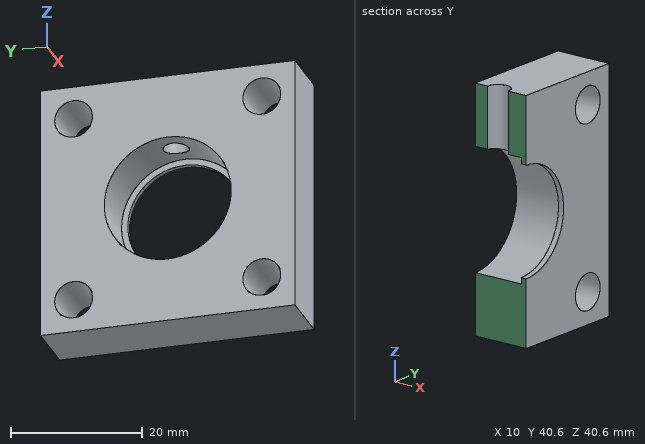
import cadquery as cq

thickness = 10.0
side = 40.6

seat_diameter = 20.2
lip_diameter = 18.2
lip_thickness = 1.0
seat_depth = thickness - lip_thickness

mounting_diameter = 6.02
mounting_spacing = 30.0

radial_diameter = 4.0
radial_x = (seat_depth - thickness) / 2


def x_cylinder(diameter, length, y=0.0, z=0.0):
    """Cylinder along +X that starts on the -X face of the plate."""
    start = cq.Vector(-thickness / 2, y, z)
    return cq.Workplane(obj=cq.Solid.makeCylinder(diameter / 2, length, start, cq.Vector(1, 0, 0)))


def cut_bore(body):
    body = body.cut(x_cylinder(lip_diameter, thickness))
    return body.cut(x_cylinder(seat_diameter, seat_depth))


def cut_mounting_holes(body):
    offset = mounting_spacing / 2
    for y in (-offset, offset):
        for z in (-offset, offset):
            body = body.cut(x_cylinder(mounting_diameter, thickness, y, z))
    return body


def cut_radial_hole(body):
    """The hole runs from the bore axis up through the top edge."""
    start = cq.Vector(radial_x, 0, 0)
    hole = cq.Solid.makeCylinder(radial_diameter / 2, side / 2, start, cq.Vector(0, 0, 1))
    return body.cut(cq.Workplane(obj=hole))


plate = cq.Workplane("XY").box(thickness, side, side)
result = cut_radial_hole(cut_mounting_holes(cut_bore(plate)))